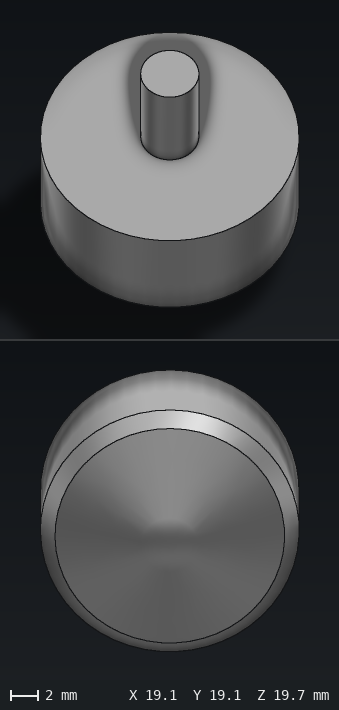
import cadquery as cq

total_height = 19.7
body_diameter = 19.1
stem_diameter = 4.3
stem_height = 7.8
bevel_height = 1.0
bevel_width = 1.08
cone_height = 2.58

body_radius = body_diameter / 2
stem_radius = stem_diameter / 2

bevel_bottom = cone_height
bevel_top = bevel_bottom + bevel_height
body_top = total_height - stem_height

half_profile = (
    cq.Workplane("XZ")
    .moveTo(0, 0)
    .lineTo(body_radius - bevel_width, bevel_bottom)
    .lineTo(body_radius, bevel_top)
    .lineTo(body_radius, body_top)
    .lineTo(stem_radius, body_top)
    .lineTo(stem_radius, total_height)
    .lineTo(0, total_height)
    .close()
)

result = half_profile.revolve(360, (0, 0, 0), (0, 1, 0))